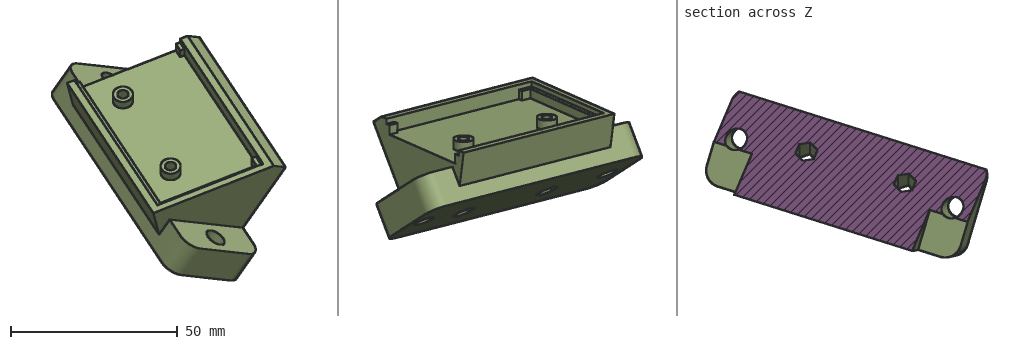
import cadquery as cq
import math

TILT = 35.0
PLATE_LENGTH = 81.0
PLATE_WIDTH = 30.05
PLATE_THICKNESS = 11.0
PLATE_CORNER_RADIUS = 5.0
MOUNT_HOLE_DIAMETER = 6.2
MOUNT_HOLE_SPACING = 69.0

BLOCK_LENGTH = 56.9
BACK_FACE_LENGTH = 36.05
TOP_HEIGHT = 32.3
TOP_DEPTH = 40.5
FRONT_DRAFT = 10.0

WALL = 2.5
END_WALL = 2.2
LEDGE_DEPTH = 1.6
FLOOR_DEPTH = 4.6
BACK_LEDGE_WIDTH = 1.45
FRONT_LEDGE_WIDTH = 1.7
END_LEDGE_WIDTH = 1.5
OPEN_END_TAB_LENGTH = 2.9
CLOSED_END_TAB_LENGTH = 3.15

STANDOFF_DIAMETER = 6.0
SCREW_HOLE_DIAMETER = 3.2
STANDOFF_SPACING = 31.4
STANDOFF_CENTER_X = -2.4
STANDOFF_FROM_TOP_BACK = 27.0
NUT_ACROSS_FLATS = 5.7
NUT_ROOF_THICKNESS = 3.0

tilt = math.radians(TILT)
sin_tilt = math.sin(tilt)
cos_tilt = math.cos(tilt)

apex_y = BACK_FACE_LENGTH * sin_tilt
apex_z = BACK_FACE_LENGTH * cos_tilt
top_back_y = apex_y - (TOP_HEIGHT - apex_z) / math.tan(tilt)
top_front_y = top_back_y - TOP_DEPTH
tray_back_y = top_back_y - WALL
tray_front_y = top_front_y + WALL
tray_open_x = -BLOCK_LENGTH / 2
tray_end_x = BLOCK_LENGTH / 2 - END_WALL
ledge_back_y = tray_back_y - BACK_LEDGE_WIDTH
ledge_front_y = tray_front_y + FRONT_LEDGE_WIDTH
ledge_end_x = tray_end_x - END_LEDGE_WIDTH
ledge_z = TOP_HEIGHT - LEDGE_DEPTH
floor_z = TOP_HEIGHT - FLOOR_DEPTH


def box_between(x0, x1, y0, y1, z0, z1):
    """Axis-aligned box between opposite corners."""
    return cq.Workplane("XY").box(x1 - x0, y1 - y0, z1 - z0, centered=False).translate((x0, y0, z0))


def make_plate():
    """Rounded plate with two mounting holes, tilted about its back edge."""
    plate = (
        cq.Workplane("XY")
        .box(PLATE_LENGTH, PLATE_WIDTH, PLATE_THICKNESS, centered=(True, True, False))
        .edges("|Z")
        .fillet(PLATE_CORNER_RADIUS)
        .faces(">Z")
        .workplane()
        .rarray(MOUNT_HOLE_SPACING, 0.8, 2, 1)
        .hole(MOUNT_HOLE_DIAMETER)
    )
    return plate.translate((0, -PLATE_WIDTH / 2, 0)).rotate((0, 0, 0), (1, 0, 0), -TILT)


def make_block():
    """Wedge from the plate underside up to the level top."""
    plate_front = (-PLATE_WIDTH * cos_tilt, PLATE_WIDTH * sin_tilt)
    draft_slope = math.tan(math.radians(FRONT_DRAFT))
    plate_slope = math.tan(tilt)
    face_gap = plate_front[0] - top_front_y + (TOP_HEIGHT - plate_front[1]) * plate_slope
    front_drop = face_gap / (draft_slope + plate_slope)
    front_meeting = (top_front_y + front_drop * draft_slope, TOP_HEIGHT - front_drop)
    profile = [
        (0, 0),
        (apex_y, apex_z),
        (top_back_y, TOP_HEIGHT),
        (top_front_y, TOP_HEIGHT),
        front_meeting,
        plate_front,
    ]
    return cq.Workplane("YZ").polyline(profile).close().extrude(BLOCK_LENGTH / 2, both=True)


def make_tray_recess():
    """Upper recess, deeper floor, and the gap between the two back tabs."""
    upper = box_between(tray_open_x, tray_end_x, tray_front_y, tray_back_y, ledge_z, TOP_HEIGHT)
    lower = box_between(tray_open_x, ledge_end_x, ledge_front_y, ledge_back_y, floor_z, TOP_HEIGHT)
    tab_gap = box_between(
        tray_open_x + OPEN_END_TAB_LENGTH,
        ledge_end_x - CLOSED_END_TAB_LENGTH,
        ledge_back_y,
        tray_back_y,
        floor_z,
        TOP_HEIGHT,
    )
    return upper.union(lower).union(tab_gap)


def at_standoffs(z):
    """Workplane at height z with both standoff centers selected."""
    center = (STANDOFF_CENTER_X, top_back_y - STANDOFF_FROM_TOP_BACK, z)
    return cq.Workplane("XY", origin=center).rarray(STANDOFF_SPACING, 0.8, 2, 1)


body = make_plate().union(make_block()).cut(make_tray_recess())

standoffs = at_standoffs(floor_z).circle(STANDOFF_DIAMETER / 2).extrude(FLOOR_DEPTH - LEDGE_DEPTH)
screw_holes = at_standoffs(0).circle(SCREW_HOLE_DIAMETER / 2).extrude(TOP_HEIGHT)

nut_corner_diameter = NUT_ACROSS_FLATS / math.cos(math.pi / 6)
nut_pockets = (
    at_standoffs(0)
    .sketch()
    .regularPolygon(nut_corner_diameter / 2, 6)
    .finalize()
    .extrude(floor_z - NUT_ROOF_THICKNESS)
)

result = body.union(standoffs).cut(screw_holes).cut(nut_pockets)